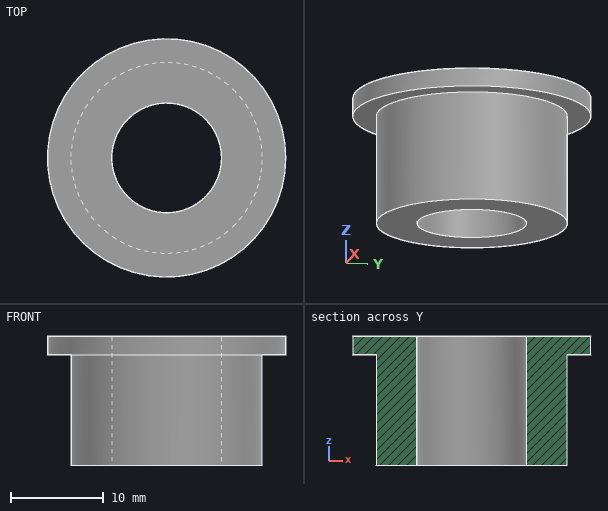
import cadquery as cq

total_height = 13.94
flange_diameter = 25.7
flange_thickness = 2.0
barrel_diameter = 20.6
bore_diameter = 11.8

barrel_height = total_height - flange_thickness


def make_barrel():
    """Cylindrical sleeve standing on the XY plane."""
    return cq.Workplane("XY").circle(barrel_diameter / 2).extrude(barrel_height)


def add_flange(body):
    """Wider disc on top of the barrel."""
    return body.faces(">Z").workplane().circle(flange_diameter / 2).extrude(flange_thickness)


def cut_bore(body):
    """Plain through hole along the axis."""
    return body.faces(">Z").workplane().circle(bore_diameter / 2).cutThruAll()


result = cut_bore(add_flange(make_barrel()))